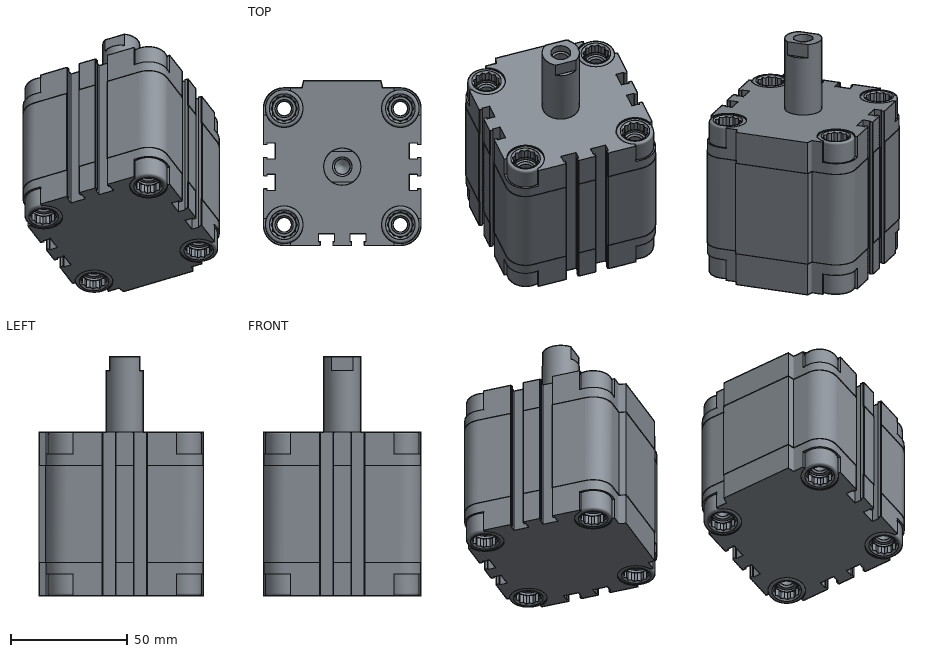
import cadquery as cq
import math

housing_width = 68.0
housing_height = 70.5
corner_radius = 9.0
cap_height = 14.3
cap_inset = 0.15
half_width = housing_width / 2

pad_height = 3.0
pad_base_width = 34.8
pad_top_width = 33.4

slot_spacing = 13.5
slot_mouth_width = 5.4
slot_inner_width = 6.8
slot_depth = 5.1
slot_lip = 1.7
mouth_chamfer = 0.3
cut_clearance = 1.0

boss_offset = half_width - corner_radius
boss_diameter = 16.2
boss_rounding = 1.0
boss_height = 9.4
notch_start = 22.3

bore_diameter = 6.2
bore_chamfer_diameter = 7.8
socket_mouth_diameter = 12.7
socket_mouth_depth = 0.75
socket_valley_diameter = 10.2
socket_points = 12
socket_depth = 4.6
socket_floor_depth = 5.8

rod_diameter = 16.0
rod_length = 32.5
rod_flat_width = 13.0
rod_flat_length = 6.1
rod_recess_diameter = 8.4
rod_recess_depth = 3.4
rod_thread_diameter = 6.65
rod_thread_depth = 20.0
drill_tip_angle = 118.0

SIDE_SIGNS = (-1, 1)
CORNERS = [(sx * boss_offset, sy * boss_offset) for sx in SIDE_SIGNS for sy in SIDE_SIGNS]


def outer_outline(inset):
    """Rounded square with the raised pad, drawn in from the barrel surface by inset."""
    half_base = pad_base_width / 2
    half_top = pad_top_width / 2
    pad_top = half_width + pad_height
    arc_middle = boss_offset + corner_radius * math.sqrt(0.5)
    outline = (
        cq.Workplane("XY")
        .moveTo(-boss_offset, half_width)
        .lineTo(-half_base, half_width)
        .lineTo(-half_top, pad_top)
        .lineTo(half_top, pad_top)
        .lineTo(half_base, half_width)
        .lineTo(boss_offset, half_width)
        .threePointArc((arc_middle, arc_middle), (half_width, boss_offset))
        .lineTo(half_width, -boss_offset)
        .threePointArc((arc_middle, -arc_middle), (boss_offset, -half_width))
        .lineTo(-boss_offset, -half_width)
        .threePointArc((-arc_middle, -arc_middle), (-half_width, -boss_offset))
        .lineTo(-half_width, boss_offset)
        .threePointArc((-arc_middle, arc_middle), (-boss_offset, half_width))
        .close()
    )
    return outline.offset2D(-inset) if inset else outline


def slot_cutter(center, inset, height):
    """T-slot in the -Y side, its mouth chamfered at the surface that lies inset from the barrel."""
    surface = -half_width + inset
    shoulder = -half_width + slot_lip
    floor = -half_width + slot_depth
    half_mouth = slot_mouth_width / 2
    half_flare = half_mouth + mouth_chamfer
    half_inner = slot_inner_width / 2
    right_side = [
        (half_flare, -half_width - cut_clearance),
        (half_flare, surface),
        (half_mouth, surface + mouth_chamfer),
        (half_mouth, shoulder),
        (half_inner, shoulder),
        (half_inner, floor),
    ]
    left_side = [(-x, y) for x, y in reversed(right_side)]
    slot = cq.Workplane("XY").polyline(right_side + left_side).close().extrude(height)
    return slot.translate((center, 0, 0))


def housing_section(inset, bottom, height):
    """Length of the slotted housing whose surface lies inset from the barrel surface."""
    section = outer_outline(inset).extrude(height)
    for turn in (-90, 0, 90):
        for sign in SIDE_SIGNS:
            slot = slot_cutter(sign * slot_spacing / 2, inset, height)
            section = section.cut(slot.rotate((0, 0, 0), (0, 0, 1), turn))
    return section.translate((0, 0, bottom))


def corner_notch():
    """Material removed around the boss of the +X +Y corner at the top end."""
    notch_bottom = housing_height - boss_height
    notch = (
        cq.Workplane("XY", origin=(notch_start, notch_start, notch_bottom))
        .rect(half_width, half_width, centered=False)
        .extrude(boss_height)
    )
    rim = (
        cq.Workplane("XY", origin=(boss_offset, boss_offset, housing_height - boss_rounding))
        .circle(boss_diameter / 2)
        .extrude(boss_rounding)
    )
    boss = (
        cq.Workplane("XY", origin=(boss_offset, boss_offset, notch_bottom))
        .circle(boss_diameter / 2)
        .extrude(boss_height)
        .faces(">Z")
        .edges()
        .fillet(boss_rounding)
    )
    return notch.union(rim).cut(boss)


def revolved(profile):
    """Solid of revolution about Z from (radius, height) points."""
    return cq.Workplane("XZ").polyline(profile).close().revolve(360, (0, 0), (0, 1))


def corner_socket():
    """Twelve-point socket of the +X +Y corner at the top end, with its funnel mouth and floor."""
    mouth_radius = socket_mouth_diameter / 2
    valley_radius = socket_valley_diameter / 2
    bore_radius = bore_diameter / 2
    chamfer_radius = bore_chamfer_diameter / 2
    half_step = math.pi / socket_points
    point_radius = valley_radius * math.cos(half_step) / math.cos(math.pi / 6)

    star_points = []
    for i in range(2 * socket_points):
        radius = point_radius if i % 2 == 0 else valley_radius
        star_points.append((radius * math.cos(i * half_step), radius * math.sin(i * half_step)))
    star = cq.Workplane("XY").polyline(star_points).close().extrude(-socket_depth)

    chamfer_bottom = socket_floor_depth + chamfer_radius - bore_radius
    recess = revolved([
        (0, 0),
        (mouth_radius, 0),
        (valley_radius, -socket_mouth_depth),
        (valley_radius, -socket_floor_depth),
        (chamfer_radius, -socket_floor_depth),
        (bore_radius, -chamfer_bottom),
        (0, -chamfer_bottom),
    ])
    return star.union(recess).translate((boss_offset, boss_offset, housing_height))


def make_housing():
    upper_cap_bottom = housing_height - cap_height
    lower_cap = housing_section(cap_inset, 0, cap_height)
    barrel = housing_section(0, cap_height, upper_cap_bottom - cap_height)
    upper_cap = housing_section(cap_inset, upper_cap_bottom, cap_height)
    body = lower_cap.union(barrel).union(upper_cap).clean()

    corner_cut = corner_notch().union(corner_socket())
    for turn in (0, 90, 180, 270):
        top_cut = corner_cut.rotate((0, 0, 0), (0, 0, 1), turn)
        bottom_cut = top_cut.mirror("XY", (0, 0, housing_height / 2))
        body = body.cut(top_cut).cut(bottom_cut)

    bores = cq.Workplane("XY").pushPoints(CORNERS).circle(bore_diameter / 2).extrude(housing_height)
    rod_guide = (
        cq.Workplane("XY", origin=(0, 0, upper_cap_bottom))
        .circle(rod_diameter / 2)
        .extrude(cap_height)
    )
    return body.cut(bores).cut(rod_guide)


def rod_end_hole():
    """Threaded hole in the rod end: a plain recess, a conical step and a drilled bottom."""
    recess_radius = rod_recess_diameter / 2
    thread_radius = rod_thread_diameter / 2
    drill_slope = math.tan(math.radians(drill_tip_angle / 2))
    step_depth = rod_recess_depth + (recess_radius - thread_radius) / drill_slope
    return revolved([
        (0, 0),
        (recess_radius, 0),
        (recess_radius, -rod_recess_depth),
        (thread_radius, -step_depth),
        (thread_radius, -rod_thread_depth),
        (0, -rod_thread_depth - thread_radius / drill_slope),
    ])


def make_rod():
    """Piston rod, seated in the upper cap, with two wrench flats facing -Y and +Y."""
    tip = housing_height + rod_length
    rod = (
        cq.Workplane("XY", origin=(0, 0, housing_height - cap_height))
        .circle(rod_diameter / 2)
        .extrude(cap_height + rod_length)
    )
    flats = (
        cq.Workplane("XY", origin=(0, 0, tip - rod_flat_length))
        .rect(2 * rod_diameter, 2 * rod_diameter)
        .rect(1.5 * rod_diameter, rod_flat_width)
        .extrude(rod_flat_length)
    )
    return rod.cut(flats).cut(rod_end_hole().translate((0, 0, tip)))


housing = make_housing()
piston_rod = make_rod()
result = cq.Compound.makeCompound([housing.val(), piston_rod.val()])